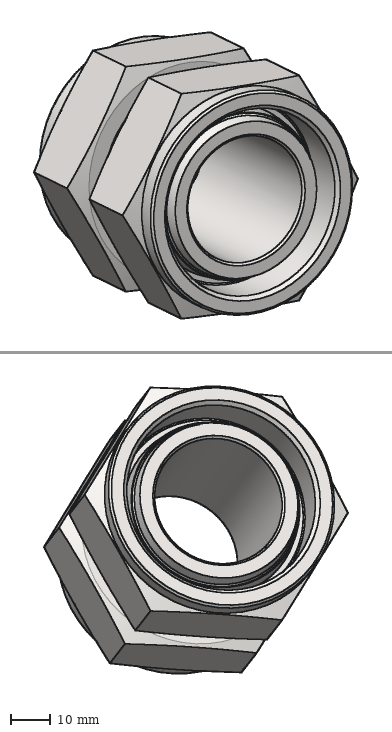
import cadquery as cq
import math

hexagon_sides = 6
corner_width = 69.3
half_length = 29.5
hex_outer_x = 24.4
nut_inner_x = 4.35
collar_radius = 29.7
collar_chamfer = 0.6
corner_cone_angle = 15.0
inner_cone_radius = 29.1

mouth_radius = 25.85
mouth_chamfer = 1.05
bore_radius = mouth_radius - mouth_chamfer
seat_x = 16.8
seat_radius = 24.3

neck_radius = 24.5
pipe_radius = 16.8
pipe_chamfer = 0.6
nose_x = 26.05
nose_end_radius = 20.8
nose_step_x = 22.2
nose_step_chamfer = 0.5
nose_front_radius = 21.5
nose_rear_radius = 22.2
nose_root_radius = 22.8


def revolve_about_x(points):
    """Solid of revolution about X from (x, radius) points."""
    return cq.Workplane("XY").polyline(points).close().revolve(360, (0, 0, 0), (1, 0, 0))


def corner_trim():
    """Turned blank whose two end cones cut back the hexagon corners."""
    corner_radius = corner_width / 2
    slope = math.tan(math.radians(corner_cone_angle))
    outer_drop = (corner_radius - collar_radius) * slope
    inner_drop = (corner_radius - inner_cone_radius) * slope
    return revolve_about_x([
        (nut_inner_x, 0),
        (nut_inner_x, inner_cone_radius),
        (nut_inner_x + inner_drop, corner_radius),
        (hex_outer_x - outer_drop, corner_radius),
        (hex_outer_x, collar_radius),
        (hex_outer_x, 0),
    ])


def make_nut():
    """Nut on the +X side of the fitting."""
    hexagon = (
        cq.Workplane("YZ", origin=(nut_inner_x, 0, 0))
        .polygon(hexagon_sides, corner_width)
        .extrude(hex_outer_x - nut_inner_x)
        .intersect(corner_trim())
    )
    collar = revolve_about_x([
        (nut_inner_x, 0),
        (nut_inner_x, inner_cone_radius),
        (hex_outer_x, inner_cone_radius),
        (hex_outer_x, collar_radius),
        (half_length - collar_chamfer, collar_radius),
        (half_length, collar_radius - collar_chamfer),
        (half_length, 0),
    ])
    bore = revolve_about_x([
        (nut_inner_x, 0),
        (nut_inner_x, seat_radius),
        (seat_x, seat_radius),
        (seat_x, bore_radius),
        (half_length - mouth_chamfer, bore_radius),
        (half_length, mouth_radius),
        (half_length, 0),
    ])
    return hexagon.union(collar).cut(bore)


def make_body():
    """Tubular body, alike on both sides of the YZ plane."""
    half = [
        (nut_inner_x, neck_radius),
        (nut_inner_x, seat_radius),
        (seat_x, seat_radius),
        (seat_x, nose_root_radius),
        (nose_step_x, nose_rear_radius),
        (nose_step_x, nose_front_radius + nose_step_chamfer),
        (nose_step_x + nose_step_chamfer, nose_front_radius),
        (nose_x, nose_end_radius),
        (nose_x, pipe_radius + pipe_chamfer),
        (nose_x - pipe_chamfer, pipe_radius),
    ]
    mirrored = [(-x, radius) for x, radius in reversed(half)]
    return revolve_about_x(half + mirrored)


body = make_body()
nuts = []
for turn in (0, 180):
    nuts.append(make_nut().rotate((0, 0, 0), (0, 0, 1), turn))

result = cq.Compound.makeCompound([body.val(), *[nut.val() for nut in nuts]])